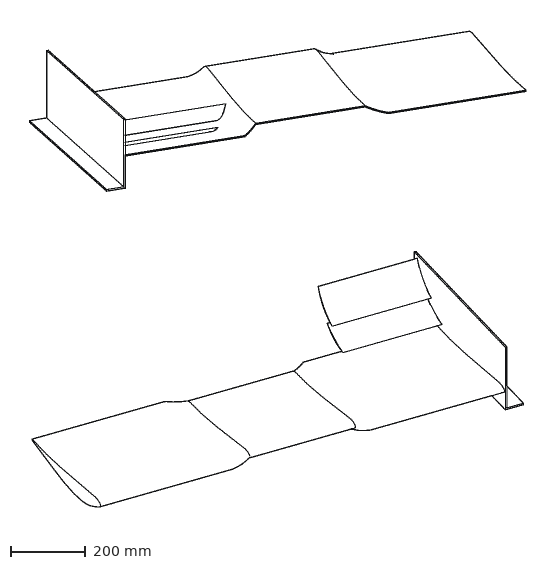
import cadquery as cq

PLATE_WIDTH = 530.0
PLATE_HEIGHT = 200.0
PLATE_THICKNESS = 5.0
FOOT_DEPTH = 55.0

TOTAL_LENGTH = 1276.0
WING_EDGE = 5.0
FULL_CHORD = 398.0
CENTRE_CHORD = 356.0
CENTRE_LENGTH = 319.0
TRANSITION_LENGTH = 50.0
CENTRE_RISE = 22.0
CENTRE_DROOP = 10.0
WING_START = FOOT_DEPTH
OUTER_LENGTH = (TOTAL_LENGTH - WING_START - CENTRE_LENGTH - 2 * TRANSITION_LENGTH) / 2
MIDWAY_LIFT = 0.3

NOSE = (0.0, 60.0)
UPPER_CURVE = [(0.03, 65.7), (0.1, 66.0), (0.28, 59.0), (0.55, 47.0), (1.0, 41.0)]
LOWER_CURVE = [(0.065, 38.0), (0.19, 17.0), (0.42, 6.0), (0.7, 18.0), (1.0, 37.0)]

FLAP_SPAN = 300.0
FLAP_THICKNESS = 4.0
LOWER_FLAP_EDGES = ((367.0, 61.0), (459.0, 102.0))
LOWER_FLAP_SAG = 5.0
UPPER_FLAP_EDGES = ((430.0, 110.0), (512.0, 190.0))
UPPER_FLAP_SAG = 10.0


def make_end_plate():
    panel = cq.Workplane("XY").box(PLATE_WIDTH, PLATE_THICKNESS, PLATE_HEIGHT, centered=False)
    panel = panel.translate((0, FOOT_DEPTH - PLATE_THICKNESS, 0))
    foot = cq.Workplane("XY").box(PLATE_WIDTH, FOOT_DEPTH, PLATE_THICKNESS, centered=False)
    return panel.union(foot)


def wing_section(y, chord, lift):
    """Closed wire at station y; lift is the share of the centre rise reached there."""
    def place(point):
        fraction, height = point
        rise = lift * (CENTRE_RISE - fraction * CENTRE_DROOP)
        return cq.Vector(WING_EDGE + fraction * chord, y, height + rise)

    nose = place(NOSE)
    upper = [place(point) for point in UPPER_CURVE]
    lower = [place(point) for point in LOWER_CURVE]
    skin = cq.Edge.makeSpline(lower[::-1] + [nose] + upper)
    trailing_edge = cq.Edge.makeLine(upper[-1], lower[-1])
    return cq.Wire.assembleEdges([skin, trailing_edge])


def straight_length(y, length, chord, lift):
    start = wing_section(y, chord, lift)
    end = wing_section(y + length, chord, lift)
    return cq.Solid.makeLoft([start, end], True)


def transition(outer_y, centre_y):
    """Curved length rising from the full chord to the centre chord."""
    middle_chord = (FULL_CHORD + CENTRE_CHORD) / 2
    sections = [
        wing_section(outer_y, FULL_CHORD, 0),
        wing_section((outer_y + centre_y) / 2, middle_chord, MIDWAY_LIFT),
        wing_section(centre_y, CENTRE_CHORD, 1),
    ]
    return cq.Solid.makeLoft(sections)


def make_wing():
    near_bend = WING_START + OUTER_LENGTH
    centre_start = near_bend + TRANSITION_LENGTH
    centre_end = centre_start + CENTRE_LENGTH
    far_bend = centre_end + TRANSITION_LENGTH
    lengths = [
        straight_length(WING_START, OUTER_LENGTH, FULL_CHORD, 0),
        transition(near_bend, centre_start),
        straight_length(centre_start, CENTRE_LENGTH, CENTRE_CHORD, 1),
        transition(far_bend, centre_end),
        straight_length(far_bend, OUTER_LENGTH, FULL_CHORD, 0),
    ]
    wing = cq.Workplane(lengths[0])
    for length in lengths[1:]:
        wing = wing.union(cq.Workplane(length))
    return wing


def make_flap(edges, sag):
    """Blade with a hollow upper face, full thickness at mid-chord and sharp edges."""
    start = cq.Vector(edges[0][0], edges[0][1])
    end = cq.Vector(edges[1][0], edges[1][1])
    along = (end - start).normalized()
    below = cq.Vector(along.y, -along.x)
    middle = (start + end) * 0.5
    upper_middle = middle + below * sag
    lower_middle = middle + below * (sag + FLAP_THICKNESS)
    return (
        cq.Workplane("XZ", origin=(0, WING_START, 0))
        .moveTo(start.x, start.y)
        .threePointArc((upper_middle.x, upper_middle.y), (end.x, end.y))
        .threePointArc((lower_middle.x, lower_middle.y), (start.x, start.y))
        .close()
        .extrude(-FLAP_SPAN)
    )


end_plate = make_end_plate()
wing = make_wing()
lower_flap = make_flap(LOWER_FLAP_EDGES, LOWER_FLAP_SAG)
upper_flap = make_flap(UPPER_FLAP_EDGES, UPPER_FLAP_SAG)

result = cq.Compound.makeCompound([
    *end_plate.solids().vals(),
    *wing.solids().vals(),
    lower_flap.val(),
    upper_flap.val(),
])